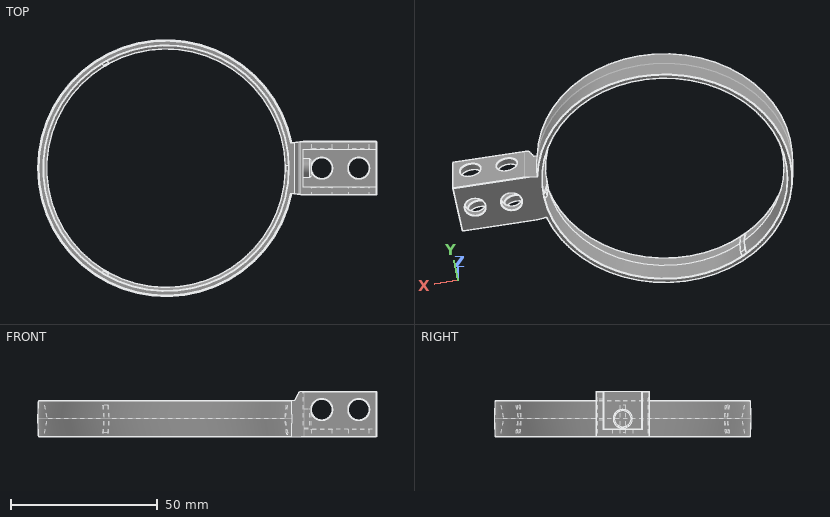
import cadquery as cq

ring_height = 12.5
ring_outer_diameter = 87.5
ring_inner_radius = 40.6
outer_draft = 0.2
inner_draft = 1.2
rim_chamfer = 0.2
mid_z = ring_height / 2
ring_outer_radius = ring_outer_diameter / 2
outer_rim = ring_outer_radius - outer_draft
inner_rim = ring_inner_radius + inner_draft

rib_count = 3
rib_width = 2.0
rib_peak_radius = 40.5
rib_shoulder_radius = 40.9
rib_shoulder_depth = 1.5
rib_root_radius = 42.2

overall_length = 115.6
bracket_end_x = overall_length - ring_outer_radius
bracket_height = 15.6
bracket_width = 18.4
edge_chamfer = 0.2
arm_thickness = 2.8
floor_thickness = 2.8
slot_start_x = 46.6

neck_root_x = 42.2
neck_end_x = 46.9
neck_root_width = 17.1

shoulder_foot_x = 43.8
shoulder_head_x = 45.2
shoulder_chamfer = 0.5

hole_diameter = 7.0
hole_positions_x = (53.1, 65.7)
cross_hole_z = 9.4

stud_diameter = 6.5
stud_length = 2.8
stud_chamfer = 0.5
stud_z = mid_z


def make_ring():
    upper_z = ring_height - rim_chamfer
    section = [
        (outer_rim - rim_chamfer, 0),
        (outer_rim, rim_chamfer),
        (ring_outer_radius, mid_z),
        (outer_rim, upper_z),
        (outer_rim - rim_chamfer, ring_height),
        (inner_rim + rim_chamfer, ring_height),
        (inner_rim, upper_z),
        (ring_inner_radius, mid_z),
        (inner_rim, rim_chamfer),
        (inner_rim + rim_chamfer, 0),
    ]
    return cq.Workplane("XZ").polyline(section).close().revolve(360, (0, 0), (0, 1))


def make_rib(angle):
    section = [
        (rib_root_radius, rim_chamfer),
        (inner_rim, rim_chamfer),
        (rib_shoulder_radius, rib_shoulder_depth),
        (rib_peak_radius, mid_z),
        (rib_shoulder_radius, ring_height - rib_shoulder_depth),
        (inner_rim, ring_height - rim_chamfer),
        (rib_root_radius, ring_height - rim_chamfer),
    ]
    rib = cq.Workplane("XZ").polyline(section).close().extrude(rib_width / 2, both=True)
    return rib.rotate((0, 0, 0), (0, 0, 1), angle)


def make_slot():
    length = bracket_end_x - slot_start_x
    width = bracket_width - 2 * arm_thickness
    depth = bracket_height - floor_thickness
    slot = cq.Workplane("XY").box(length, width, depth, centered=(False, True, False))
    return slot.translate((slot_start_x, 0, floor_thickness))


def make_holes():
    across = (
        cq.Workplane("XZ")
        .pushPoints([(x, cross_hole_z) for x in hole_positions_x])
        .circle(hole_diameter / 2)
        .extrude(bracket_width, both=True)
    )
    upright = (
        cq.Workplane("XY")
        .pushPoints([(x, 0) for x in hole_positions_x])
        .circle(hole_diameter / 2)
        .extrude(bracket_height)
    )
    return across.union(upright)


def make_bracket():
    side_profile = [
        (neck_root_x, 0),
        (bracket_end_x, 0),
        (bracket_end_x, bracket_height),
        (shoulder_head_x + shoulder_chamfer, bracket_height),
        (shoulder_head_x, bracket_height - shoulder_chamfer),
        (shoulder_foot_x, ring_height),
        (neck_root_x, ring_height),
    ]
    plan = [
        (neck_root_x, -neck_root_width / 2),
        (neck_end_x, -bracket_width / 2),
        (bracket_end_x, -bracket_width / 2),
        (bracket_end_x, bracket_width / 2),
        (neck_end_x, bracket_width / 2),
        (neck_root_x, neck_root_width / 2),
    ]
    side_block = cq.Workplane("XZ").polyline(side_profile).close().extrude(bracket_width / 2, both=True)
    plan_block = cq.Workplane("XY").polyline(plan).close().extrude(bracket_height)
    block = side_block.intersect(plan_block)
    return (
        block.faces(">Y or <Y").edges("|X").chamfer(edge_chamfer)
        .cut(make_slot())
        .faces(">X").edges().chamfer(edge_chamfer)
        .cut(make_holes())
        .edges("%CIRCLE").chamfer(edge_chamfer)
    )


def make_stud():
    return (
        cq.Workplane("YZ", origin=(slot_start_x, 0, stud_z))
        .circle(stud_diameter / 2)
        .extrude(stud_length)
        .faces(">X")
        .chamfer(stud_chamfer)
    )


result = make_ring().union(make_bracket()).union(make_stud())
for index in range(rib_count):
    result = result.union(make_rib(index * 360 / rib_count))